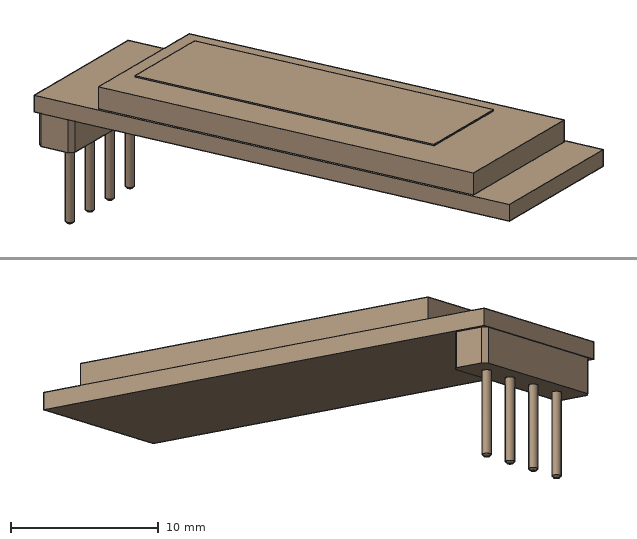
import cadquery as cq

board_length = 38.0
board_width = 12.0
total_height = 11.4

board_thickness = 1.2
display_thickness = 1.6
window_thickness = 0.1

display_offset = 5.0
display_length = 30.0
display_width = 11.6

window_margin = 1.15
window_length = 23.9
window_width = 7.6

header_offset = 0.08
header_length = 2.85
header_width = 11.55
header_height = 2.5
header_chamfer = 0.35

pin_count = 4
pin_pitch = 2.55
pin_diameter = 0.65
pin_tip_chamfer = 0.15

centre_y = board_width / 2
display_top = board_thickness + display_thickness
window_top = display_top + window_thickness
pin_tip_z = window_top - total_height
pin_x = header_offset + header_length / 2


def block(corner, length, width, height):
    """Box extending in +X, +Y and +Z from its lower corner."""
    return cq.Workplane("XY").box(length, width, height, centered=False).translate(corner)


def make_display():
    front_y = centre_y - display_width / 2
    return block((display_offset, front_y, board_thickness), display_length, display_width, display_thickness)


def make_window():
    left_x = display_offset + window_margin
    front_y = centre_y + display_width / 2 - window_margin - window_width
    return block((left_x, front_y, display_top), window_length, window_width, window_thickness)


def make_header():
    front_y = centre_y - header_width / 2
    body = block((header_offset, front_y, -header_height), header_length, header_width, header_height)
    return body.edges("|Z").chamfer(header_chamfer)


def make_pin(y):
    """Round pin from the board's underside down to a chamfered tip."""
    return (
        cq.Workplane("XY", origin=(pin_x, y, pin_tip_z))
        .circle(pin_diameter / 2)
        .extrude(-pin_tip_z)
        .faces("<Z")
        .chamfer(pin_tip_chamfer)
    )


board = block((0, 0, 0), board_length, board_width, board_thickness)
result = board.union(make_display()).union(make_window()).union(make_header())

first_pin_y = centre_y - pin_pitch * (pin_count - 1) / 2
for i in range(pin_count):
    result = result.union(make_pin(first_pin_y + i * pin_pitch))